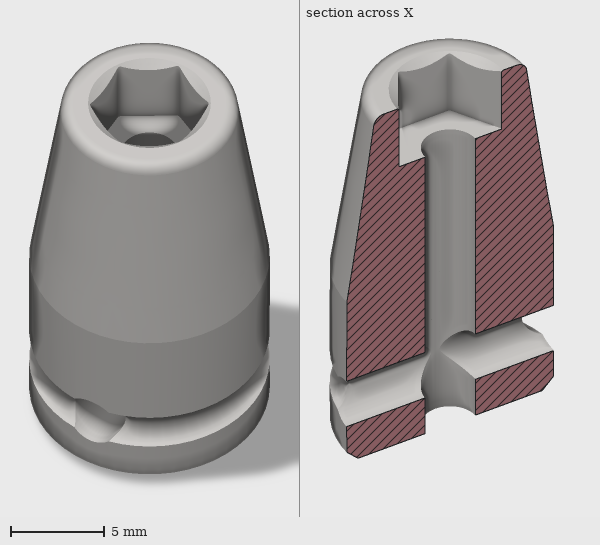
import cadquery as cq
import math

height = 23.0
body_diameter = 12.9
body_radius = body_diameter / 2
nose_radius = 4.7
nose_rounding = 0.67
taper_start = 11.02
base_chamfer = 0.71

groove_center = 4.02
groove_half_width = 1.13
groove_depth = 0.85
pin_hole_radius = 1.55

hex_across_flats = 5.57
hex_depth = 4.0
hex_corner_rounding = 0.23
socket_mouth_radius = 3.3
mouth_cone_depth = 0.41
bore_radius = 1.56


def turned_body():
    """Revolved outside shape with base chamfer, groove, taper and rounded nose."""
    return (
        cq.Workplane("XZ")
        .lineTo(body_radius - base_chamfer, 0)
        .lineTo(body_radius, base_chamfer)
        .lineTo(body_radius, groove_center - groove_half_width)
        .threePointArc(
            (body_radius - groove_depth, groove_center),
            (body_radius, groove_center + groove_half_width),
        )
        .lineTo(body_radius, taper_start)
        .lineTo(nose_radius, height)
        .lineTo(0, height)
        .close()
        .revolve(360, (0, 0), (0, 1))
        .faces(">Z")
        .edges()
        .fillet(nose_rounding)
    )


def hex_socket():
    """Hexagonal recess with rounded corners and two flats facing X, opened by a conical mouth."""
    corner_diameter = hex_across_flats / math.cos(math.pi / 6)
    recess = (
        cq.Workplane("XY", origin=(0, 0, height - hex_depth))
        .transformed(rotate=(0, 0, 30))
        .polygon(6, corner_diameter)
        .extrude(hex_depth)
        .edges("|Z")
        .fillet(hex_corner_rounding)
    )
    mouth = cq.Workplane(
        cq.Solid.makeCone(
            hex_across_flats / 2,
            socket_mouth_radius,
            mouth_cone_depth,
            pnt=cq.Vector(0, 0, height - mouth_cone_depth),
        )
    )
    return recess.union(mouth)


def pin_hole():
    """Through hole along Y, centred on the groove."""
    return (
        cq.Workplane("XZ", origin=(0, 0, groove_center))
        .circle(pin_hole_radius)
        .extrude(body_radius, both=True)
    )


bore = cq.Workplane("XY").circle(bore_radius).extrude(height)

result = turned_body().cut(hex_socket()).cut(bore).cut(pin_hole())